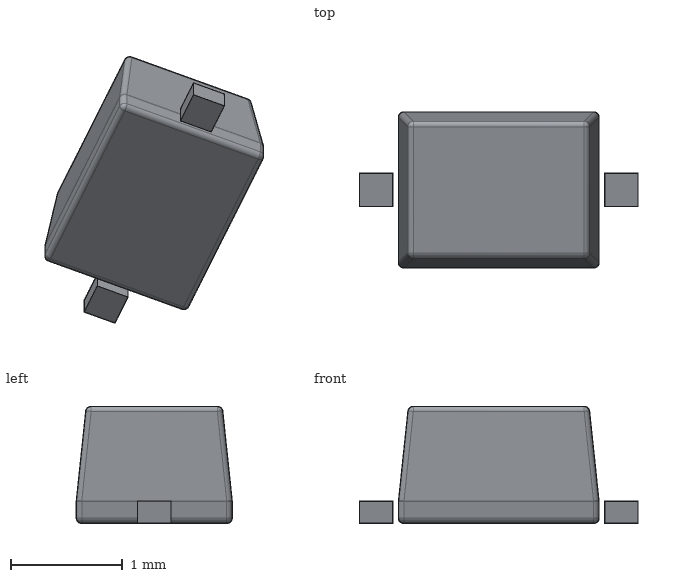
import cadquery as cq

overall_length = 2.5
body_length = 1.8
body_width = 1.4
body_height = 1.05

base_height = 0.2
draft_angle = 6.0
edge_radius = 0.05

terminal_length = 0.3
terminal_width = 0.3
terminal_height = base_height


def make_housing():
    """Straight-sided base with a drafted upper part, every edge rounded."""
    base = cq.Workplane("XY").rect(body_length, body_width).extrude(base_height)
    upper = (
        cq.Workplane("XY", origin=(0, 0, base_height))
        .rect(body_length, body_width)
        .extrude(body_height - base_height, taper=draft_angle)
    )
    return base.union(upper).edges().fillet(edge_radius)


def make_terminal(side):
    """Terminal block at the +X end (side = 1) or the -X end (side = -1)."""
    center_x = side * (overall_length - terminal_length) / 2
    return (
        cq.Workplane("XY")
        .center(center_x, 0)
        .rect(terminal_length, terminal_width)
        .extrude(terminal_height)
    )


housing = make_housing()
terminals = [make_terminal(side) for side in (-1, 1)]

result = cq.Compound.makeCompound([housing.val(), *[terminal.val() for terminal in terminals]])